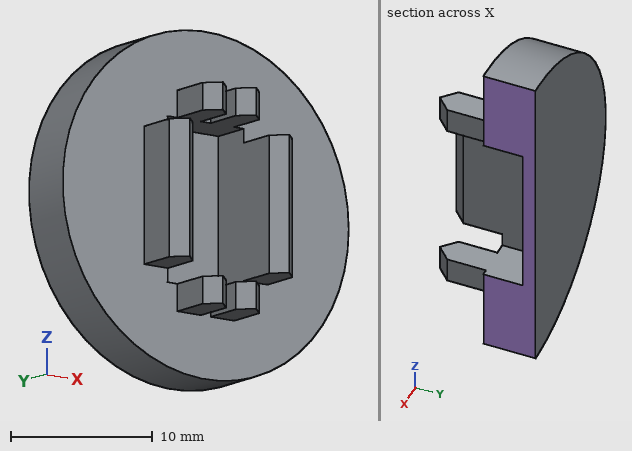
import cadquery as cq

plate_diameter = 25.2
plate_thickness = 4.0

prong_length = 3.98
prong_width = 2.07
tip_length = 1.0
column_pitch = 2.92
long_prong_height = 10.0
short_prong_height = 2.0

pocket_depth = 3.0
pocket_height = 12.05
pocket_width = 3 * column_pitch - prong_width

outer_column_x = 1.5 * column_pitch
inner_column_x = 0.5 * column_pitch
short_prong_z = (pocket_height + short_prong_height) / 2


def make_plate():
    return cq.Workplane("XZ").circle(plate_diameter / 2).extrude(-plate_thickness)


def make_pocket():
    return cq.Workplane("XZ").rect(pocket_width, pocket_height).extrude(-pocket_depth)


def make_prong(x, z, height):
    """Prong pointing along -Y, centred at (x, z), with a V-shaped tip."""
    half_width = prong_width / 2
    shoulder_y = tip_length - prong_length
    profile = [
        (x - half_width, 0),
        (x + half_width, 0),
        (x + half_width, shoulder_y),
        (x, -prong_length),
        (x - half_width, shoulder_y),
    ]
    return (
        cq.Workplane("XY")
        .workplane(offset=z - height / 2)
        .polyline(profile)
        .close()
        .extrude(height)
    )


result = make_plate().cut(make_pocket())
for side in (-1, 1):
    result = result.union(make_prong(side * outer_column_x, 0, long_prong_height))
    for end in (-1, 1):
        result = result.union(
            make_prong(side * inner_column_x, end * short_prong_z, short_prong_height)
        )